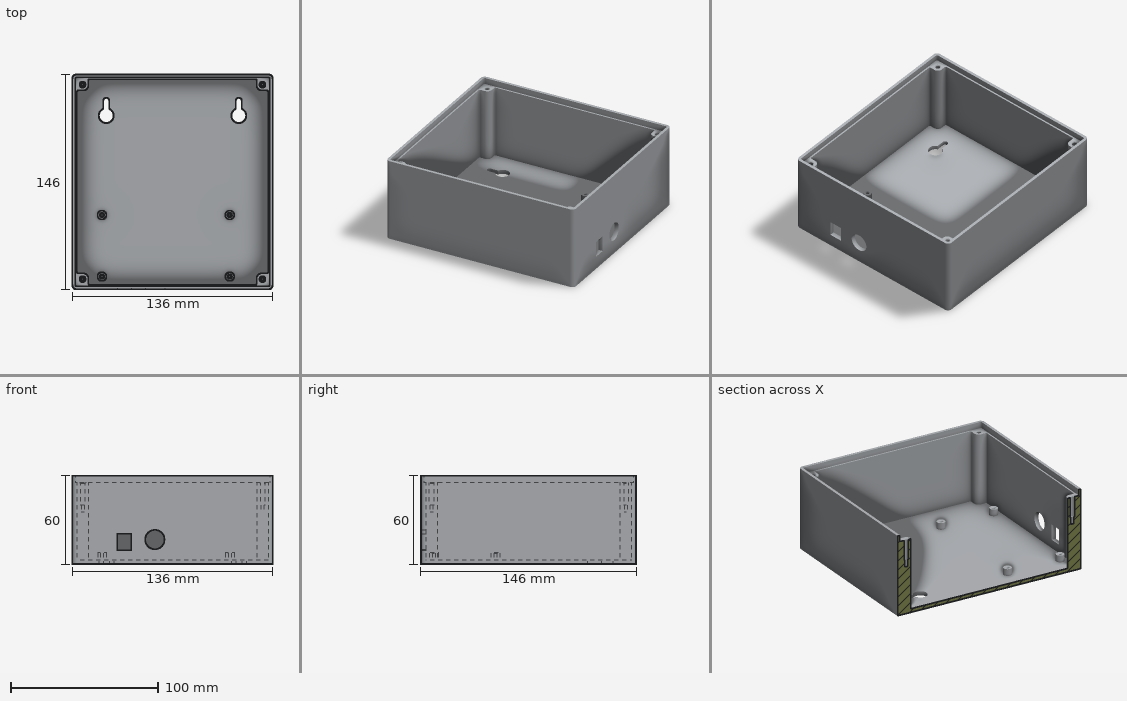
import cadquery as cq

width = 136.0
length = 146.0
height = 60.0
outer_corner_radius = 3.0
wall = 3.2
floor_thickness = 3.0

rim = 2.0
lid_recess_depth = 4.5

post_reach = 11.0
post_corner_radius = 3.5
post_fillet_radius = 0.9
screw_inset = 7.0
screw_hole_diameter = 3.0
screw_hole_mouth = 4.1
screw_hole_depth = 15.0
screw_pilot_diameter = 2.0
screw_pilot_depth = 20.0

standoff_diameter = 6.0
standoff_hole_diameter = 2.0
standoff_hole_mouth = 3.0
standoff_height = 5.0
standoff_left = -47.9
standoff_front = -64.2
standoff_pitch_x = 86.7
standoff_pitch_y = 41.8

keyhole_x = 45.0
keyhole_y = 45.0
keyhole_diameter = 10.0
keyhole_slot_width = 4.0
keyhole_slot_length = 10.1

round_opening_diameter = 13.1
round_opening_x = -12.0
round_opening_z = 16.6
square_opening_width = 9.6
square_opening_height = 11.4
square_opening_x = -32.7
square_opening_z = 15.0

rim_corner_radius = outer_corner_radius - rim
cavity_width = width - 2 * wall
cavity_length = length - 2 * wall
ledge_z = height - lid_recess_depth
standoff_top = floor_thickness + standoff_height


def block(size_x, size_y, bottom, top):
    """Box centred on the Z axis between two heights."""
    return cq.Workplane("XY").workplane(offset=bottom).rect(size_x, size_y).extrude(top - bottom)


def cylinder(x, y, diameter, bottom, top):
    """Upright cylinder between two heights."""
    return cq.Workplane("XY", origin=(x, y, bottom)).circle(diameter / 2).extrude(top - bottom)


def chamfered_hole(x, y, diameter, mouth, bottom, top):
    """Blind hole whose mouth widens with a 45 degree chamfer."""
    chamfer = (mouth - diameter) / 2
    bore = cylinder(x, y, diameter, bottom, top)
    cone = cq.Solid.makeCone(diameter / 2, mouth / 2, chamfer, pnt=cq.Vector(x, y, top - chamfer))
    return bore.union(cq.Workplane(obj=cone))


def corner_post(side_x, side_y):
    """Column in one inner corner, rounded on the edge that faces the cavity."""
    size = post_reach - wall
    centre_x = side_x * (cavity_width - size) / 2
    centre_y = side_y * (cavity_length - size) / 2
    facing_x = "<X" if side_x > 0 else ">X"
    facing_y = "<Y" if side_y > 0 else ">Y"
    post = block(size, size, floor_thickness, ledge_z)
    post = post.edges("|Z").edges(f"{facing_x} and {facing_y}").fillet(post_corner_radius)
    return post.translate((centre_x, centre_y, 0))


def cavity():
    """Inner space between the corner posts, with fillets where the posts meet the walls."""
    space = block(cavity_width, cavity_length, floor_thickness, ledge_z)
    for side_x in (-1, 1):
        for side_y in (-1, 1):
            space = space.cut(corner_post(side_x, side_y))
    return space.faces("<X or >X or <Y or >Y").edges("|Z").fillet(post_fillet_radius)


def shell():
    """Open box with corner posts and a stepped rim."""
    body = block(width, length, 0, height).edges("|Z").fillet(outer_corner_radius)
    lid_recess = block(width - 2 * rim, length - 2 * rim, ledge_z, height)
    lid_recess = lid_recess.edges("|Z").fillet(rim_corner_radius)
    return body.cut(cavity()).cut(lid_recess)


def keyhole(x):
    """Round entry with a narrow slot running towards the back wall."""
    slot_end = keyhole_y + keyhole_slot_length
    entry = cylinder(x, keyhole_y, keyhole_diameter, 0, floor_thickness)
    slot = (
        cq.Workplane("XY", origin=(x, keyhole_y + keyhole_slot_length / 2, 0))
        .rect(keyhole_slot_width, keyhole_slot_length)
        .extrude(floor_thickness)
    )
    return entry.union(slot).union(cylinder(x, slot_end, keyhole_slot_width, 0, floor_thickness))


def front_openings():
    """Round and rectangular openings through the front wall."""
    front = cq.Workplane("XZ", origin=(0, -length / 2, 0))
    round_opening = (
        front.center(round_opening_x, round_opening_z).circle(round_opening_diameter / 2).extrude(-wall)
    )
    square_opening = (
        front.center(square_opening_x, square_opening_z)
        .rect(square_opening_width, square_opening_height)
        .extrude(-wall)
    )
    return round_opening.union(square_opening)


result = shell()

for side_x in (-1, 1):
    for side_y in (-1, 1):
        screw_x = side_x * (width / 2 - screw_inset)
        screw_y = side_y * (length / 2 - screw_inset)
        screw_hole = chamfered_hole(
            screw_x, screw_y, screw_hole_diameter, screw_hole_mouth, ledge_z - screw_hole_depth, ledge_z
        )
        pilot = cylinder(screw_x, screw_y, screw_pilot_diameter, ledge_z - screw_pilot_depth, ledge_z)
        result = result.cut(screw_hole).cut(pilot)

for x in (standoff_left, standoff_left + standoff_pitch_x):
    for y in (standoff_front, standoff_front + standoff_pitch_y):
        standoff = cylinder(x, y, standoff_diameter, floor_thickness, standoff_top)
        standoff_hole = chamfered_hole(
            x, y, standoff_hole_diameter, standoff_hole_mouth, floor_thickness, standoff_top
        )
        result = result.union(standoff).cut(standoff_hole)

for x in (-keyhole_x, keyhole_x):
    result = result.cut(keyhole(x))

result = result.cut(front_openings())